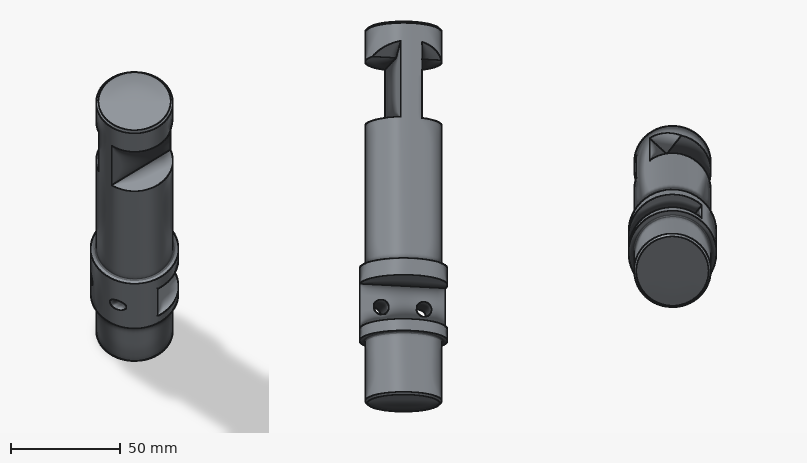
import cadquery as cq
import math

total_height = 175.0
shaft_diameter = 35.0
end_chamfer = 1.0

collar_diameter = 40.0
collar_bottom = 29.2
collar_top = 63.2

root_fillet = 0.5

notch_middle = 45.0
notch_height = 20.6
notch_wall_y = -1.8

hole_diameter = 7.0
hole_spacing = 20.0

web_thickness = 10.0
flat_bottom = 130.0
flat_top = 160.0
ramp_start_y = 7.0
ramp_angle = 30.0


def make_body():
    """Round shaft with chamfered ends and a larger collar, filleted where they meet."""
    shaft = cq.Workplane("XY").circle(shaft_diameter / 2).extrude(total_height)
    shaft = shaft.faces("<Z or >Z").chamfer(end_chamfer)
    collar = (
        cq.Workplane("XY", origin=(0, 0, collar_bottom))
        .circle(collar_diameter / 2)
        .extrude(collar_top - collar_bottom)
    )
    body = shaft.union(collar)
    root_edges = body.faces("|Z").edges(cq.selectors.RadiusNthSelector(1))
    return root_edges.fillet(root_fillet)


def make_flat_cutter(side):
    """Pocket beside the web; its roof ramps up towards +Y. Side is -1 or 1."""
    reach = collar_diameter / 2
    ramp_end_z = flat_top + (reach - ramp_start_y) * math.tan(math.radians(ramp_angle))
    return (
        cq.Workplane("YZ", origin=(side * web_thickness / 2, 0, 0))
        .moveTo(-reach, flat_bottom)
        .lineTo(reach, flat_bottom)
        .lineTo(reach, ramp_end_z)
        .lineTo(ramp_start_y, flat_top)
        .lineTo(-reach, flat_top)
        .close()
        .extrude(side * reach)
    )


def make_notch_cutter():
    """Block that opens the collar from the notch wall out to +Y."""
    return cq.Workplane("XY", origin=(0, notch_wall_y, notch_middle)).box(
        collar_diameter, collar_diameter, notch_height, centered=(True, False, True)
    )


def make_hole_cutter():
    """Two parallel holes from the -Y side of the collar to the notch."""
    return (
        cq.Workplane("XZ", origin=(0, notch_wall_y, notch_middle))
        .rarray(hole_spacing, 1.8, 2, 1)
        .circle(hole_diameter / 2)
        .extrude(collar_diameter / 2)
    )


result = make_body()
for side in (-1, 1):
    result = result.cut(make_flat_cutter(side))
result = result.cut(make_notch_cutter())
result = result.cut(make_hole_cutter())